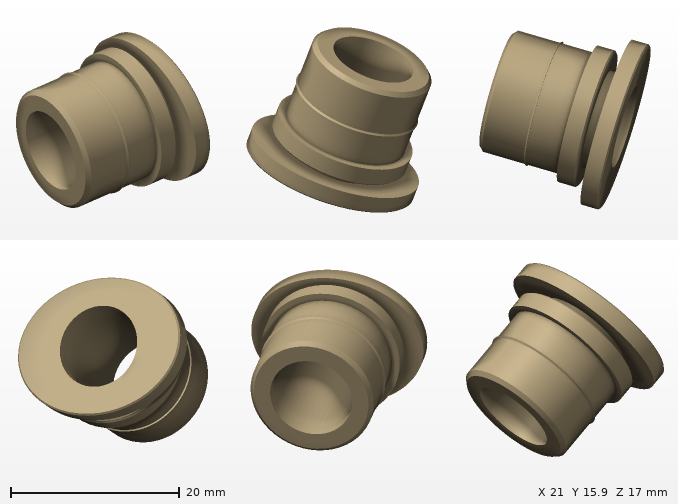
import cadquery as cq

plate_length = 21.0
plate_width = 17.0
plate_depth = 2.2
rim_chamfer = 0.2

neck_diameter = 12.0
collar_diameter = 16.9
collar_start = 3.5
collar_end = 5.8

barrel_diameter = 15.0
barrel_end = 15.9
tip_chamfer = 0.5

ridge_start = 10.0
ridge_width = 0.2
ridge_height = 0.2

bore_diameter = 10.0


def forward_workplane(depth):
    """Workplane at the given depth, facing -Y, with local X along +X and local Y along +Z."""
    return cq.Workplane("XZ", origin=(0, -depth, 0))


def disc(diameter, start, end):
    """Cylinder about the bushing axis between two depths."""
    return forward_workplane(start).circle(diameter / 2).extrude(end - start)


def oval_plate():
    """Elliptical end plate with its rear rim chamfered."""
    plate = forward_workplane(0).ellipse(plate_length / 2, plate_width / 2).extrude(plate_depth)
    return plate.faces(">Y").edges().chamfer(rim_chamfer)


def collar():
    """Round collar with the rim facing the plate chamfered."""
    return disc(collar_diameter, collar_start, collar_end).faces(">Y").edges().chamfer(rim_chamfer)


def barrel():
    """Plug barrel with a chamfered insertion tip."""
    return disc(barrel_diameter, collar_end, barrel_end).faces("<Y").edges().chamfer(tip_chamfer)


def ridge():
    """Thin barb around the barrel: square on the plate side, sloping down toward the tip."""
    inner_radius = neck_diameter / 2
    barrel_radius = barrel_diameter / 2
    ridge_end = ridge_start + ridge_width
    crest_radius = barrel_radius + ridge_height
    profile = (
        cq.Workplane("XY")
        .moveTo(inner_radius, -ridge_start)
        .lineTo(crest_radius, -ridge_start)
        .lineTo(barrel_radius, -ridge_end)
        .lineTo(inner_radius, -ridge_end)
        .close()
    )
    return profile.revolve(360, (0, 0, 0), (0, 1, 0))


neck = disc(neck_diameter, plate_depth, collar_start)
bore = disc(bore_diameter, 0, barrel_end)

body = oval_plate().union(neck).union(collar()).union(barrel()).union(ridge())
result = body.cut(bore)